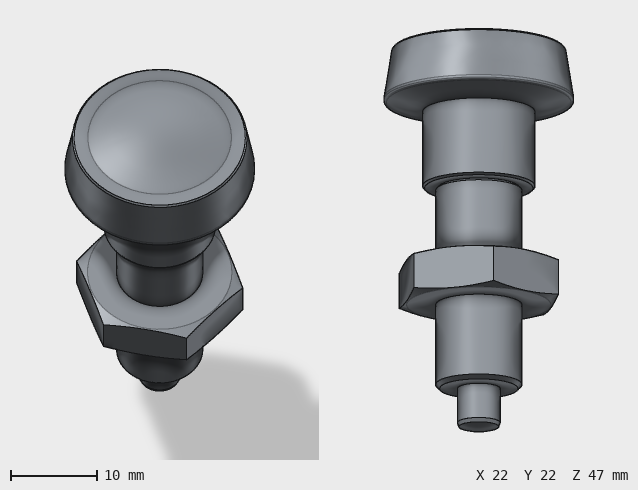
import cadquery as cq
import math

pin_radius = 2.5
pin_tip_radius = 2.3
pin_tip_rise = 0.4
pin_taper_height = 0.45

body_radius = 5.005
body_bottom = 5.0
body_chamfer = 0.45
body_top_chamfer = 0.3

nut_flats = 17.0
nut_bottom = 15.0
nut_height = 5.0
nut_face_radius = 8.35
nut_chamfer_angle = 17.0

sleeve_radius = 6.51
sleeve_bottom = 28.95
sleeve_chamfer = 0.25
head_bottom = 38.05
head_radius = 11.0
head_rim_bottom = 39.15
head_rim_round = 0.3
head_rim_top = 39.7
head_top_radius = 10.1
head_top = 45.5
head_edge = 0.2
dome_radius = 8.3
total_height = 47.0


def cap_mid_drop(rim_radius, rise):
    """Drop from the crown of a spherical cap at half its rim radius."""
    sphere_radius = (rim_radius**2 + rise**2) / (2 * rise)
    return sphere_radius - math.sqrt(sphere_radius**2 - (rim_radius / 2) ** 2)


def turned_body():
    """Revolve the pin, body, sleeve and knob as one solid."""
    tip_mid_z = cap_mid_drop(pin_tip_radius, pin_tip_rise)
    dome_mid_z = total_height - cap_mid_drop(dome_radius, total_height - head_top)
    round_bulge = math.sin(math.radians(45))
    rim_inner_radius = head_radius - head_rim_round
    rim_mid = (
        rim_inner_radius + head_rim_round * round_bulge,
        head_rim_bottom + head_rim_round * (1 - round_bulge),
    )
    return (
        cq.Workplane("XZ")
        .moveTo(0, 0)
        .threePointArc((pin_tip_radius / 2, tip_mid_z), (pin_tip_radius, pin_tip_rise))
        .lineTo(pin_radius, pin_tip_rise + pin_taper_height)
        .lineTo(pin_radius, body_bottom)
        .lineTo(body_radius - body_chamfer, body_bottom)
        .lineTo(body_radius, body_bottom + body_chamfer)
        .lineTo(body_radius, sleeve_bottom - body_top_chamfer)
        .lineTo(body_radius - body_top_chamfer, sleeve_bottom)
        .lineTo(sleeve_radius - sleeve_chamfer, sleeve_bottom)
        .lineTo(sleeve_radius, sleeve_bottom + sleeve_chamfer)
        .lineTo(sleeve_radius, head_bottom)
        .lineTo(rim_inner_radius, head_rim_bottom)
        .threePointArc(rim_mid, (head_radius, head_rim_bottom + head_rim_round))
        .lineTo(head_radius, head_rim_top)
        .lineTo(head_top_radius, head_top - head_edge)
        .lineTo(head_top_radius - head_edge, head_top)
        .lineTo(dome_radius, head_top)
        .threePointArc((dome_radius / 2, dome_mid_z), (0, total_height))
        .close()
        .revolve(360, (0, 0), (0, 1))
    )


def hex_nut():
    """Hexagon with corners on X, both faces trimmed by a shallow cone."""
    corner_radius = nut_flats / 2 / math.cos(math.radians(30))
    drop = (corner_radius - nut_face_radius) * math.tan(math.radians(nut_chamfer_angle))
    nut_top = nut_bottom + nut_height
    hexagon = (
        cq.Workplane("XY")
        .workplane(offset=nut_bottom)
        .polygon(6, 2 * corner_radius)
        .extrude(nut_height)
    )
    envelope = (
        cq.Workplane("XZ")
        .moveTo(0, nut_bottom)
        .lineTo(nut_face_radius, nut_bottom)
        .lineTo(corner_radius, nut_bottom + drop)
        .lineTo(corner_radius, nut_top - drop)
        .lineTo(nut_face_radius, nut_top)
        .lineTo(0, nut_top)
        .close()
        .revolve(360, (0, 0), (0, 1))
    )
    return hexagon.intersect(envelope)


result = turned_body().union(hex_nut())